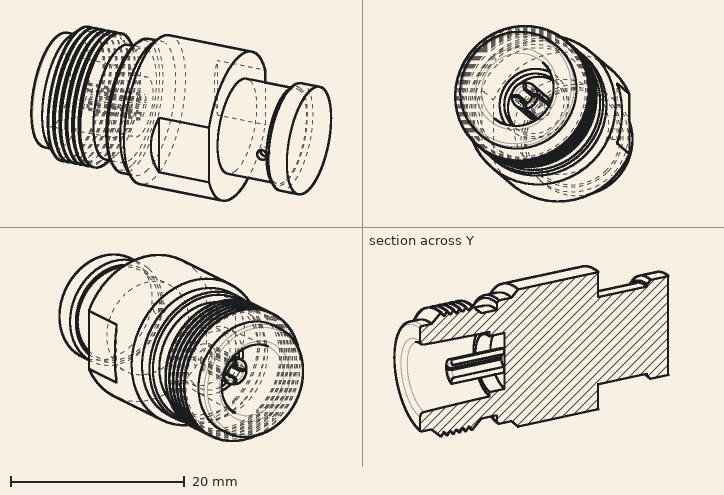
import cadquery as cq
import math

length = 32.08

nose_radius = 6.75
nose_rounding = 0.3
nose_end = 1.48

crest_radius = 7.9
root_radius = 7.4
first_crest = 2.73
thread_pitch = 0.8
crest_count = 6
crest_width = 0.1
runout_end = 7.92

collar_start = 9.9
collar_end = 11.8
collar_radius = crest_radius
collar_chamfer = 0.3
body_radius = 8.75
body_chamfer = body_radius - collar_radius
body_end = 23.03

neck_radius = 5.58
flange_start = 29.3
flange_radius = 6.32
flange_chamfer = 0.48

flat_distance = 8.02
front_flat_start = 16.78
back_flat_start = 17.05

side_hole_x = 28.6
side_hole_radius = 0.6
side_hole_depth = 0.95

bore_mouth_radius = 4.27
bore_inner_radius = 4.07
bore_rounding = 0.55
shoulder_depth = 8.98
well_radius = 3.53
well_depth = 10.9

contact_radius = 1.55
contact_tip = 4.17
contact_hole_radius = 0.8
contact_hole_rounding = 0.32
slot_width = 0.25


def make_outer_body():
    profile = (
        cq.Workplane("XY")
        .lineTo(0, nose_radius - nose_rounding)
        .radiusArc((nose_rounding, nose_radius), nose_rounding)
        .lineTo(nose_end, nose_radius)
    )
    for index in range(crest_count):
        crest_x = first_crest + index * thread_pitch
        if index > 0:
            profile = profile.lineTo(crest_x - thread_pitch / 2, root_radius)
        profile = profile.lineTo(crest_x - crest_width / 2, crest_radius)
        profile = profile.lineTo(crest_x + crest_width / 2, crest_radius)
    return (
        profile
        .lineTo(runout_end, nose_radius)
        .lineTo(collar_start, nose_radius)
        .lineTo(collar_start, collar_radius - collar_chamfer)
        .lineTo(collar_start + collar_chamfer, collar_radius)
        .lineTo(collar_end, collar_radius)
        .lineTo(collar_end + body_chamfer, body_radius)
        .lineTo(body_end, body_radius)
        .lineTo(body_end, neck_radius)
        .lineTo(flange_start, neck_radius)
        .lineTo(flange_start, flange_radius - flange_chamfer)
        .lineTo(flange_start + flange_chamfer, flange_radius)
        .lineTo(length, flange_radius)
        .lineTo(length, 0)
        .close()
        .revolve(360, (0, 0, 0), (1, 0, 0))
    )


def make_socket():
    taper_angle = math.atan((bore_mouth_radius - bore_inner_radius) / (shoulder_depth - bore_rounding))
    rounding_end_x = bore_rounding * (1 - math.sin(taper_angle))
    rounding_centre_radius = bore_mouth_radius + bore_rounding * math.cos(taper_angle)
    return (
        cq.Workplane("XY")
        .lineTo(0, rounding_centre_radius)
        .radiusArc((rounding_end_x, bore_mouth_radius), -bore_rounding)
        .lineTo(shoulder_depth, bore_inner_radius)
        .lineTo(shoulder_depth, well_radius)
        .lineTo(well_depth, well_radius)
        .lineTo(well_depth, 0)
        .close()
        .revolve(360, (0, 0, 0), (1, 0, 0))
    )


def make_contact():
    root_overlap = 0.32
    root_x = well_depth + root_overlap
    contact = (
        cq.Workplane("XY")
        .moveTo(root_x, 0)
        .lineTo(root_x, contact_radius)
        .lineTo(contact_tip, contact_radius)
        .lineTo(contact_tip, contact_hole_radius + contact_hole_rounding)
        .radiusArc((contact_tip + contact_hole_rounding, contact_hole_radius), -contact_hole_rounding)
        .lineTo(well_depth, contact_hole_radius)
        .lineTo(well_depth, 0)
        .close()
        .revolve(360, (0, 0, 0), (1, 0, 0))
    )
    tip_plane = cq.Workplane("YZ", origin=(contact_tip, 0, 0))
    for across_y, across_z in ((2 * contact_radius, slot_width), (slot_width, 2 * contact_radius)):
        contact = contact.cut(tip_plane.rect(across_y, across_z).extrude(well_depth - contact_tip))
    return contact


def make_flat_cutter(flat_start):
    runout = body_radius - flat_distance
    return (
        cq.Workplane("XY")
        .moveTo(body_end, -flat_distance)
        .lineTo(flat_start, -flat_distance)
        .lineTo(flat_start - runout, -body_radius)
        .lineTo(body_end, -body_radius)
        .close()
        .extrude(body_radius, both=True)
    )


def make_side_hole():
    return (
        cq.Workplane("XZ", origin=(side_hole_x, -(neck_radius - side_hole_depth), 0))
        .circle(side_hole_radius)
        .extrude(2 * side_hole_depth)
    )


result = (
    make_outer_body()
    .cut(make_socket())
    .union(make_contact())
    .cut(make_flat_cutter(front_flat_start))
    .cut(make_flat_cutter(back_flat_start).mirror("XZ"))
    .cut(make_side_hole())
)